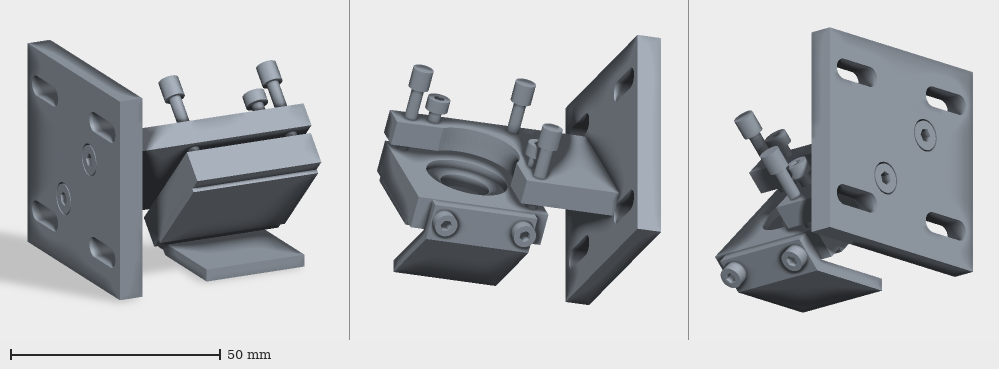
import cadquery as cq
import math

TILT = -45

BASE_SIZE = 49.9
BASE_THICKNESS = 6.0
SLOT_LENGTH = 14.0
SLOT_WIDTH = 5.0
SLOT_X = 15.5
SLOT_Z = 15.7

TOTAL_DEPTH = 55.75
FRAME_WIDTH = 33.1
FRAME_THICKNESS = 6.0
FRAME_MIDDLE = -2.07
HOLDER_SIZE = 33.0
HOLDER_THICKNESS = 8.0
HOLDER_Y = 38.43
GAP = 2.0
FRAME_TOP = FRAME_MIDDLE + FRAME_THICKNESS / 2
FRAME_BOTTOM = FRAME_TOP - FRAME_THICKNESS
HOLDER_TOP = FRAME_BOTTOM - GAP
HOLDER_BOTTOM = HOLDER_TOP - HOLDER_THICKNESS

ARM_EDGE = 9.5
LEG_EDGE_Y = 29.5
CLEARANCE_RADIUS = 11.0

RECESS_DIAMETER = 20.0
RECESS_DEPTH = 2.0
APERTURE_DIAMETER = 12.0
APERTURE_DEPTH = 3.0

COVER_WIDTH = 25.6
COVER_LENGTH = 33.2
COVER_THICKNESS = 1.0

CLAMP_LENGTH = 26.0
CLAMP_THICKNESS = 3.0
CLAMP_HEIGHT = 9.0
CLAMP_SETBACK = 0.25
CLAMP_SCREW_SPACING = 20.0
CLAMP_FACE = -HOLDER_SIZE / 2 - CLAMP_THICKNESS
CLAMP_TOP = HOLDER_TOP - CLAMP_SETBACK
CLAMP_BOTTOM = CLAMP_TOP - CLAMP_HEIGHT
FOOT_LENGTH = 22.5

ADJUSTER_X = 13.15
ADJUSTER_Y_OFFSET = 13.0
ADJUSTER_HEAD_DIAMETER = 5.0
ADJUSTER_HEAD_LENGTH = 5.0
ADJUSTER_HEAD_LIFT = 7.95

SHANK_DIAMETER = 3.0
CAP_DIAMETER = 5.5
CAP_HEIGHT = 3.0
CAP_LIFT = 3.0
CAP_OFFSET = 7.2
CAP_SOCKET = 2.5
SOCKET_DEPTH = 2.5
SOCKET_TURN = 30
BASE_SCREW_SPACING = 19.5
BASE_SCREW_HEAD_DIAMETER = 7.2
BASE_SCREW_SOCKET = 3.0
BASE_SOCKET_TURN = 20
COUNTERBORE_DIAMETER = 8.0
COUNTERBORE_DEPTH = 4.0


def block(x_range, y_range, z_range):
    """Box between the given limits on each axis."""
    sizes = [high - low for low, high in (x_range, y_range, z_range)]
    corner = (x_range[0], y_range[0], z_range[0])
    return cq.Workplane("XY").box(*sizes, centered=False).translate(corner)


def rod(x, y, z_low, z_high, diameter):
    """Cylinder along the plate normal."""
    return cq.Workplane("XY", origin=(x, y, z_low)).circle(diameter / 2).extrude(z_high - z_low)


def hex_socket(across_flats, turn):
    """Hexagonal prism whose open end lies at z = 0, turned by an angle in degrees."""
    across_corners = across_flats / math.cos(math.pi / 6)
    prism = cq.Workplane("XY").polygon(6, across_corners).extrude(-SOCKET_DEPTH)
    return prism.rotate((0, 0, 0), (0, 0, 1), turn)


def cap_head(socket_turn):
    """Socket cap head standing on z = 0."""
    head = rod(0, 0, 0, CAP_HEIGHT, CAP_DIAMETER)
    return head.cut(hex_socket(CAP_SOCKET, socket_turn).translate((0, 0, CAP_HEIGHT)))


def frame():
    y_range = (BASE_THICKNESS, TOTAL_DEPTH)
    z_range = (FRAME_BOTTOM, FRAME_TOP)
    plate = block((-FRAME_WIDTH / 2, FRAME_WIDTH / 2), y_range, z_range)
    arm_notch = block((-FRAME_WIDTH / 2, ARM_EDGE), (HOLDER_Y, TOTAL_DEPTH), z_range)
    leg_notch = block((-FRAME_WIDTH / 2, 0), (LEG_EDGE_Y, HOLDER_Y), z_range)
    clearance = rod(0, HOLDER_Y, FRAME_BOTTOM, FRAME_TOP, 2 * CLEARANCE_RADIUS)
    return plate.cut(arm_notch).cut(leg_notch).cut(clearance)


def holder():
    half = HOLDER_SIZE / 2
    plate = block((-half, half), (HOLDER_Y - half, HOLDER_Y + half), (HOLDER_BOTTOM, HOLDER_TOP))
    recess = rod(0, HOLDER_Y, HOLDER_TOP - RECESS_DEPTH, HOLDER_TOP, RECESS_DIAMETER)
    aperture_floor = HOLDER_TOP - RECESS_DEPTH - APERTURE_DEPTH
    aperture = rod(0, HOLDER_Y, aperture_floor, HOLDER_TOP, APERTURE_DIAMETER)
    cover = block(
        (-COVER_WIDTH / 2, COVER_WIDTH / 2),
        (HOLDER_Y - COVER_LENGTH / 2, HOLDER_Y + COVER_LENGTH / 2),
        (HOLDER_BOTTOM - COVER_THICKNESS, HOLDER_BOTTOM),
    )
    return plate.cut(recess).cut(aperture).union(cover)


def clamp_y_range():
    return (HOLDER_Y - CLAMP_LENGTH / 2, HOLDER_Y + CLAMP_LENGTH / 2)


def clamp():
    """Bar across the lower edge of the holder, with its two cap screws."""
    x_range = (CLAMP_FACE, CLAMP_FACE + CLAMP_THICKNESS)
    bar = block(x_range, clamp_y_range(), (CLAMP_BOTTOM, CLAMP_TOP))
    screw_z = (HOLDER_TOP + HOLDER_BOTTOM) / 2
    for side, socket_turn in ((-1, 0), (1, SOCKET_TURN)):
        head = cap_head(socket_turn).rotate((0, 0, 0), (0, 1, 0), -90)
        screw_y = HOLDER_Y + side * CLAMP_SCREW_SPACING / 2
        bar = bar.union(head.translate((CLAMP_FACE, screw_y, screw_z)))
    return bar


def clamp_foot():
    """Level leg starting at the lowest corner of the tilted clamp bar."""
    corner_x = (CLAMP_FACE - CLAMP_BOTTOM) / math.sqrt(2)
    corner_z = (CLAMP_FACE + CLAMP_BOTTOM) / math.sqrt(2)
    x_range = (corner_x, corner_x + FOOT_LENGTH)
    return block(x_range, clamp_y_range(), (corner_z, corner_z + CLAMP_THICKNESS))


def adjuster(x, y):
    """Adjuster screw passing through the frame and bearing on the holder."""
    head_bottom = FRAME_TOP + ADJUSTER_HEAD_LIFT
    head = rod(x, y, head_bottom, head_bottom + ADJUSTER_HEAD_LENGTH, ADJUSTER_HEAD_DIAMETER)
    shank = rod(x, y, HOLDER_TOP, head_bottom, SHANK_DIAMETER)
    return head.union(shank)


def frame_cap_screw(x, y, socket_turn):
    head_bottom = FRAME_TOP + CAP_LIFT
    shank = rod(x, y, FRAME_BOTTOM, head_bottom, SHANK_DIAMETER)
    return shank.union(cap_head(socket_turn).translate((x, y, head_bottom)))


def base_screw_groove(x, socket_turn):
    """Clearance around a screw head sunk into the base, and the socket of that screw."""
    ring = cq.Workplane("XY").circle(COUNTERBORE_DIAMETER / 2).circle(BASE_SCREW_HEAD_DIAMETER / 2)
    groove = ring.extrude(-COUNTERBORE_DEPTH).union(hex_socket(BASE_SCREW_SOCKET, socket_turn))
    return groove.rotate((0, 0, 0), (1, 0, 0), 90).translate((x, 0, FRAME_MIDDLE))


def tilted_parts():
    near_y = HOLDER_Y - ADJUSTER_Y_OFFSET
    far_y = HOLDER_Y + ADJUSTER_Y_OFFSET
    parts = frame().union(holder()).union(clamp())
    for x, y in ((-ADJUSTER_X, near_y), (ADJUSTER_X, near_y), (ADJUSTER_X, far_y)):
        parts = parts.union(adjuster(x, y))
    parts = parts.union(frame_cap_screw(-CAP_OFFSET, near_y, SOCKET_TURN))
    return parts.union(frame_cap_screw(ADJUSTER_X, HOLDER_Y + CAP_OFFSET, 0))


def base():
    half = BASE_SIZE / 2
    plate = block((-half, half), (0, BASE_THICKNESS), (-half, half))
    slot_points = [(x, z) for x in (-SLOT_X, SLOT_X) for z in (-SLOT_Z, SLOT_Z)]
    slots = cq.Workplane("XZ").pushPoints(slot_points).slot2D(SLOT_LENGTH, SLOT_WIDTH)
    return plate.cut(slots.extrude(-BASE_THICKNESS))


def turned(part):
    return part.rotate((0, 0, 0), (0, 1, 0), TILT)


def base_screw_grooves():
    """Grooves of the two screws set along the middle of the frame's foot."""
    left = base_screw_groove(-BASE_SCREW_SPACING / 2, 0)
    right = base_screw_groove(BASE_SCREW_SPACING / 2, BASE_SOCKET_TURN)
    return turned(left.union(right))


result = base().union(turned(tilted_parts())).union(clamp_foot())
result = result.cut(base_screw_grooves())